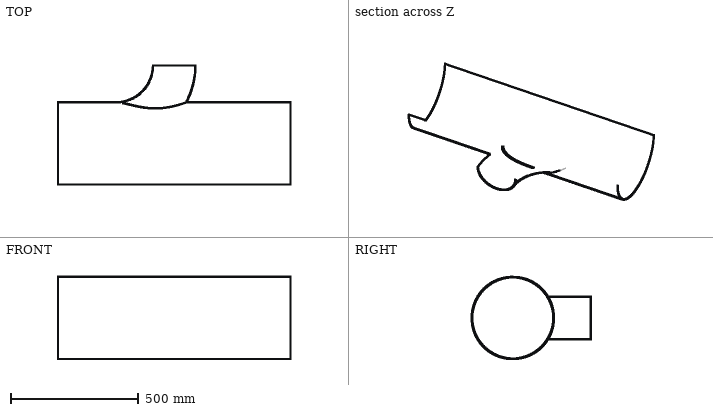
import cadquery as cq

pipe_length = 914.0
pipe_outer_diameter = 323.9
pipe_bore_diameter = 317.9
pipe_outer_radius = pipe_outer_diameter / 2
pipe_wall = (pipe_outer_diameter - pipe_bore_diameter) / 2

branch_outer_diameter = 168.3
branch_bore_diameter = branch_outer_diameter - 2 * pipe_wall
bend_radius = 229.0
bend_angle = 90.0

mouth_y = pipe_outer_radius + bend_radius - branch_outer_diameter / 2


def pipe_cylinder(diameter):
    """Solid cylinder along X with the length of the main pipe."""
    return (
        cq.Workplane("YZ")
        .circle(diameter / 2)
        .extrude(pipe_length / 2, both=True)
    )


def elbow(diameter):
    """Solid quarter bend from the mouth, facing +Y at X = 0, down into the pipe towards -X."""
    return (
        cq.Workplane("XZ", origin=(0, mouth_y, 0))
        .circle(diameter / 2)
        .revolve(bend_angle, (-bend_radius, 0, 0), (-bend_radius, -1, 0))
    )


outer_body = pipe_cylinder(pipe_outer_diameter).union(elbow(branch_outer_diameter))
result = outer_body.cut(pipe_cylinder(pipe_bore_diameter)).cut(elbow(branch_bore_diameter))